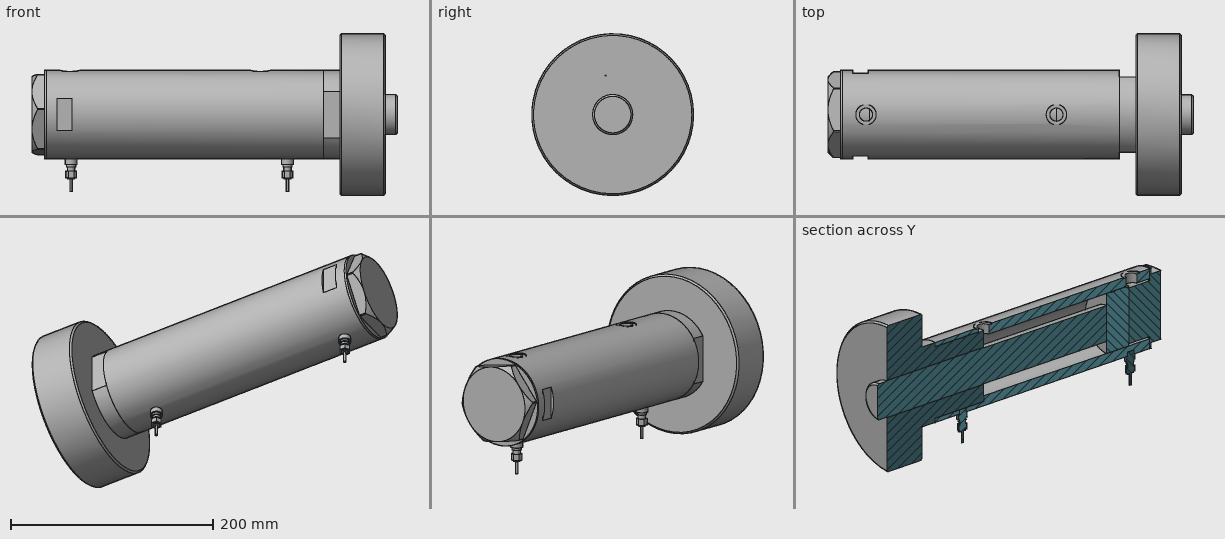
import cadquery as cq
import math


total_length = 361.5
hex_length = 12.3
tube_start_x = 14.5
head_start_x = 288.0
flange_start_x = 304.5
flange_length = 45.2

tube_dia = 88.0
tube_radius = tube_dia / 2
bore_dia = 65.0
head_bore_dia = 77.5
wrench_flat_width = 82.0
wrench_flat_start_x = 24.5
wrench_flat_length = 15.2

port_dia = 13.0
port_face_dia = 20.2
port_face_depth = 1.0
port_positions_x = (37.5, 226.0)

hex_across_flats = 75.0
hex_corner_dia = 85.5
hex_turn = 7.4
hex_chamfer_angle = 45.0
plug_dia = 61.5
plug_end_x = 41.0

flange_dia = 160.0
flange_chamfer = 1.8
neck_flat_width = 75.0
nose_start_x = port_positions_x[1]

piston_length = 29.0
piston_end_x = plug_end_x + piston_length
rod_dia = 39.8
rod_chamfer = 1.8

sensor_positions_x = (38.5, 252.5)
sensor_top_z = -39.5
collar_dia = 12.0
collar_end_z = -49.5
step_dia = 9.5
step_end_z = -52.0
stem_dia = 7.5
nut_start_z = -56.0
nut_end_z = -62.5
nut_across_flats = 9.5
nut_collar_dia = 7.0
nut_collar_end_z = -63.5
cable_dia = 2.5
cable_end_z = -76.3


def cylinder_x(diameter, start_x, end_x):
    """Solid cylinder on the X axis between two positions."""
    return cq.Workplane("YZ", origin=(start_x, 0, 0)).circle(diameter / 2).extrude(end_x - start_x)


def cylinder_z(diameter, x, top_z, bottom_z):
    """Solid vertical cylinder at a given X, from its top downwards."""
    return cq.Workplane("XY", origin=(x, 0, top_z)).circle(diameter / 2).extrude(bottom_z - top_z)


def across_corners(across_flats):
    """Corner-to-corner size of a hexagon."""
    return across_flats / math.cos(math.radians(30))


def slab(width, start_x, length):
    """Block centred on the axis, used to leave two parallel flats of the given width in Y."""
    return cq.Workplane("XY").box(length, width, 2 * tube_dia).translate((start_x + length / 2, 0, 0))


def make_tube():
    """Barrel with wrench flats, stepped bore, oil ports and sensor holes."""
    tube = cylinder_x(tube_dia, tube_start_x, head_start_x)

    flat_zone = cylinder_x(2 * tube_dia, wrench_flat_start_x, wrench_flat_start_x + wrench_flat_length)
    tube = tube.cut(flat_zone.cut(slab(wrench_flat_width, wrench_flat_start_x, wrench_flat_length)))

    tube = tube.cut(cylinder_x(bore_dia, tube_start_x, head_start_x))
    tube = tube.cut(cylinder_x(head_bore_dia, nose_start_x, head_start_x))

    for x in port_positions_x:
        tube = tube.cut(cylinder_z(port_face_dia, x, tube_radius, tube_radius - port_face_depth))
        tube = tube.cut(cylinder_z(port_dia, x, tube_radius, 0))

    for x in sensor_positions_x:
        tube = tube.cut(cylinder_z(stem_dia, x, sensor_top_z, -tube_radius))
    return tube


def make_end_cap():
    """Chamfered hexagon, thin disc against the tube, and plug reaching to the piston."""
    hexagon = (
        cq.Workplane("YZ")
        .polygon(6, across_corners(hex_across_flats))
        .extrude(hex_length)
        .rotate((0, 0, 0), (1, 0, 0), -hex_turn)
    )
    corner_radius = hex_corner_dia / 2
    face_radius = hex_across_flats / 2
    chamfer_length = (corner_radius - face_radius) * math.tan(math.radians(hex_chamfer_angle))
    envelope = (
        cq.Workplane("XY")
        .polyline(
            [
                (0, 0),
                (0, face_radius),
                (chamfer_length, corner_radius),
                (hex_length, corner_radius),
                (hex_length, 0),
            ]
        )
        .close()
        .revolve(360, (0, 0, 0), (1, 0, 0))
    )
    disc = cylinder_x(tube_dia, hex_length, tube_start_x)
    plug = cylinder_x(plug_dia, tube_start_x, plug_end_x)
    return hexagon.intersect(envelope).union(disc).union(plug)


def make_head():
    """Flange, neck with two flats, and nose guiding the rod inside the tube."""
    flange_end_x = flange_start_x + flange_length
    flange = cylinder_x(flange_dia, flange_start_x, flange_end_x)
    flange = flange.faces("<X or >X").edges().chamfer(flange_chamfer)
    neck = cylinder_x(tube_dia, head_start_x, flange_start_x)
    neck = neck.intersect(slab(neck_flat_width, head_start_x, flange_start_x - head_start_x))
    nose = cylinder_x(head_bore_dia, nose_start_x, head_start_x)
    head = flange.union(neck).union(nose)
    return head.cut(cylinder_x(rod_dia, nose_start_x, flange_end_x))


def make_piston():
    return cylinder_x(bore_dia, plug_end_x, piston_end_x)


def make_rod():
    return cylinder_x(rod_dia, piston_end_x, total_length).faces(">X").chamfer(rod_chamfer)


def make_sensor(x):
    """Stem in the tube with collar, step, hexagon nut and cable, hanging down at a given X."""
    nut = (
        cq.Workplane("XY", origin=(x, 0, nut_start_z))
        .polygon(6, across_corners(nut_across_flats))
        .extrude(nut_end_z - nut_start_z)
    )
    return (
        cylinder_z(stem_dia, x, sensor_top_z, nut_start_z)
        .union(cylinder_z(collar_dia, x, -tube_radius, collar_end_z))
        .union(cylinder_z(step_dia, x, collar_end_z, step_end_z))
        .union(nut)
        .union(cylinder_z(nut_collar_dia, x, nut_end_z, nut_collar_end_z))
        .union(cylinder_z(cable_dia, x, nut_collar_end_z, cable_end_z))
    )


tube = make_tube()
end_cap = make_end_cap()
head = make_head()
piston = make_piston()
rod = make_rod()
sensors = [make_sensor(x) for x in sensor_positions_x]

result = cq.Compound.makeCompound(
    [
        tube.val(),
        end_cap.val(),
        head.val(),
        piston.val(),
        rod.val(),
        *[sensor.val() for sensor in sensors],
    ]
)